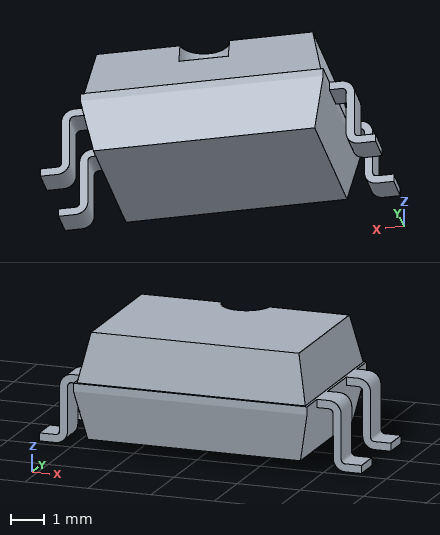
import cadquery as cq
import math

overall_length = 10.22
overall_height = 3.68

body_length = 7.4
body_width = 5.2
body_bottom = 0.37
draft_angle = 12.0
ledge = 0.08

lead_thickness = 0.26
lead_width = 0.92
lead_pitch = 2.54
lead_top = 2.17
foot_length = 0.64
shoulder_radius = 0.14
foot_radius = 0.12
lead_embed = 0.2

notch_radius = 0.76
notch_center_y = 2.29
notch_depth = 0.6

band_bottom = lead_top - lead_thickness


def tapered_block(length, width, start_z, end_z):
    """Rectangle at start_z, narrowing by the draft angle towards end_z."""
    height = end_z - start_z
    inset = abs(height) * math.tan(math.radians(draft_angle))
    return (
        cq.Workplane("XY", origin=(0, 0, start_z))
        .rect(length, width)
        .workplane(offset=height)
        .rect(length - 2 * inset, width - 2 * inset)
        .loft(ruled=True)
    )


def make_body():
    band = (
        cq.Workplane("XY", origin=(0, 0, band_bottom))
        .rect(body_length, body_width)
        .extrude(lead_thickness)
    )
    upper = tapered_block(body_length - 2 * ledge, body_width - 2 * ledge, lead_top, overall_height)
    lower = tapered_block(body_length, body_width, band_bottom, body_bottom)
    notch = (
        cq.Workplane("XY", origin=(0, notch_center_y, overall_height))
        .circle(notch_radius)
        .extrude(-notch_depth)
    )
    return band.union(lower).union(upper.cut(notch))


def make_lead(center_y):
    """Gull-wing lead on the -X side: a bent centerline thickened to both sides."""
    half = lead_thickness / 2
    tip_x = -overall_length / 2
    upright_x = tip_x + foot_length + half
    arm_end_x = -body_length / 2 + lead_embed
    arm_z = lead_top - half
    foot_bend = foot_radius + half
    shoulder_bend = shoulder_radius + half
    path = (
        cq.Workplane("XZ", origin=(0, center_y, 0))
        .moveTo(tip_x, half)
        .lineTo(upright_x - foot_bend, half)
        .tangentArcPoint((upright_x, half + foot_bend), relative=False)
        .lineTo(upright_x, arm_z - shoulder_bend)
        .tangentArcPoint((upright_x + shoulder_bend, arm_z), relative=False)
        .lineTo(arm_end_x, arm_z)
    )
    section = cq.Workplane("YZ", origin=(tip_x, center_y, half)).rect(lead_width, lead_thickness)
    return section.sweep(path)


result = make_body()
for center_y in (-lead_pitch / 2, lead_pitch / 2):
    lead = make_lead(center_y)
    result = result.union(lead).union(lead.mirror("YZ"))